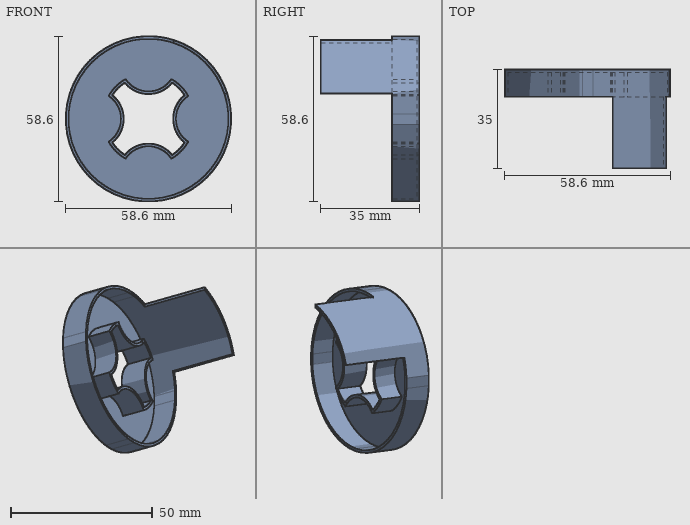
import cadquery as cq
import math

outer_half_width = 29.3
flat_half_width = 1.9
wall = 1.0
cup_depth = 9.7
floor_thickness = 1.0
inner_half_width = outer_half_width - wall

tongue_length = 25.3
tongue_edge = 8.9

socket_outer_radius = 16.3
lobe_outer_radius = 10.7
lobe_offset = 19.45


def cylinder(radius, length):
    """Cylinder along Y from the rim plane, Y = 0; a negative length runs towards -Y."""
    return cq.Workplane("XZ").circle(radius).extrude(-length)


def cross_prism(radius, lobe_radius):
    """Cylinder with four lobes removed, leaving a cross-shaped prism."""
    lobe_centres = [(lobe_offset, 0), (0, lobe_offset), (-lobe_offset, 0), (0, -lobe_offset)]
    lobes = cq.Workplane("XZ").pushPoints(lobe_centres).circle(lobe_radius).extrude(-cup_depth)
    return cylinder(radius, cup_depth).cut(lobes)


def flatted_cylinder(half_width, length):
    """Cylinder trimmed by a square so that four narrow flats remain on its side."""
    radius = math.hypot(half_width, flat_half_width)
    square = cq.Workplane("XZ").rect(2 * half_width, 2 * half_width).extrude(-length)
    return cylinder(radius, length).intersect(square)


def make_cup():
    cavity = flatted_cylinder(inner_half_width, cup_depth - floor_thickness)
    return flatted_cylinder(outer_half_width, cup_depth).cut(cavity)


def make_tongue():
    ring = flatted_cylinder(outer_half_width, -tongue_length)
    ring = ring.cut(flatted_cylinder(inner_half_width, -tongue_length))
    corner_block = (
        cq.Workplane("XZ")
        .moveTo(tongue_edge, tongue_edge)
        .rect(outer_half_width, outer_half_width, centered=False)
        .extrude(tongue_length)
    )
    return ring.intersect(corner_block)


socket_body = cross_prism(socket_outer_radius, lobe_outer_radius - wall)
socket_opening = cross_prism(socket_outer_radius - wall, lobe_outer_radius)

result = make_cup().union(socket_body).cut(socket_opening).union(make_tongue())